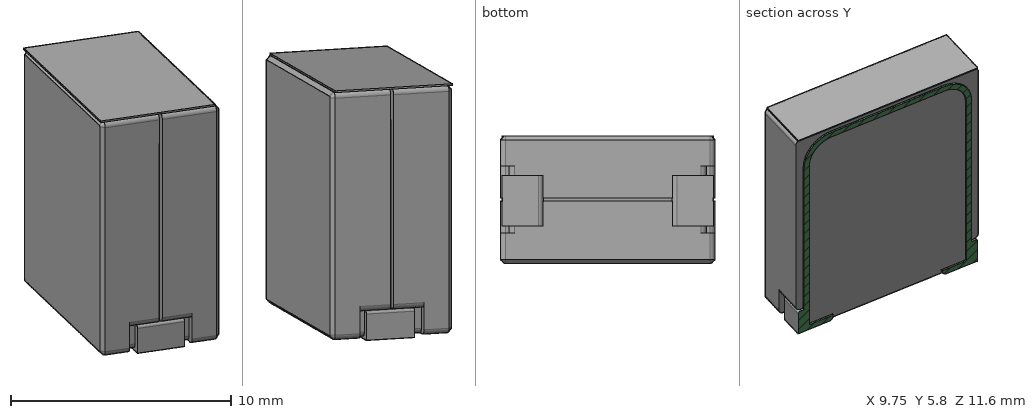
import cadquery as cq
import math

core_length = 9.75
core_width = 5.8
total_height = 11.62

sheet_thickness = 0.08
sheet_length = 9.59
sheet_back_margin = 0.21

foot_drop = 0.1
core_gap = 0.14
edge_radius = 0.24
face_chamfer = 0.19
recess_width = 3.05
recess_depth = 0.4
recess_top = 1.36

clip_width = 2.3
clip_offset = 0.05
clip_thickness = 0.3
clip_top = 11.31
clip_bend_radius = 1.48
foot_half_span = 4.79
foot_top = 1.34
foot_corner_radius = 0.12
foot_tip = 2.9
foot_tip_radius = 0.23

core_half_length = core_length / 2
core_top = total_height - sheet_thickness
core_height = core_top - foot_drop
core_half_width = (core_width - core_gap) / 2
recess_back = core_half_length - recess_depth
leg_outer = recess_back
leg_inner = leg_outer - clip_thickness
bend_inner_radius = clip_bend_radius - clip_thickness
diagonal = math.sqrt(0.5)


def arc_middle(center_x, center_z, radius, x_sign, z_sign):
    """Middle point of a quarter arc, on the diagonal given by the two signs."""
    return (center_x + x_sign * radius * diagonal, center_z + z_sign * radius * diagonal)


def extrude_along_y(outline, width, center_y=0.0):
    """Extrude an outline in the XZ plane to a width centred on center_y."""
    return outline.extrude(width / 2, both=True).translate((0, center_y, 0))


def make_clip():
    """Half of the clip on the +X side, joined to its mirror image."""
    bend_x = leg_outer - clip_bend_radius
    bend_z = clip_top - clip_bend_radius
    corner_x = foot_half_span - foot_corner_radius
    corner_z = foot_top - foot_corner_radius
    tip_x = foot_tip + foot_tip_radius
    outline = (
        cq.Workplane("XZ")
        .moveTo(0, clip_top)
        .lineTo(bend_x, clip_top)
        .threePointArc(arc_middle(bend_x, bend_z, clip_bend_radius, 1, 1), (leg_outer, bend_z))
        .lineTo(leg_outer, foot_top)
        .lineTo(corner_x, foot_top)
        .threePointArc(
            arc_middle(corner_x, corner_z, foot_corner_radius, 1, 1), (foot_half_span, corner_z)
        )
        .lineTo(foot_half_span, 0)
        .lineTo(tip_x, 0)
        .threePointArc(
            arc_middle(tip_x, foot_tip_radius, foot_tip_radius, -1, -1), (foot_tip, foot_tip_radius)
        )
        .lineTo(foot_tip, clip_thickness)
        .lineTo(leg_inner, clip_thickness)
        .lineTo(leg_inner, bend_z)
        .threePointArc(
            arc_middle(bend_x, bend_z, bend_inner_radius, 1, 1), (bend_x, clip_top - clip_thickness)
        )
        .lineTo(0, clip_top - clip_thickness)
        .close()
    )
    half = extrude_along_y(outline, clip_width, clip_offset)
    return half.union(half.mirror("YZ")).clean()


def make_recess():
    """Space taken out of the core around the foot on the +X side, with rounded core edges."""
    mouth_x = core_half_length - edge_radius
    mouth_z = recess_top + edge_radius
    bottom_x = recess_back - edge_radius
    bottom_z = foot_drop + edge_radius
    outline = (
        cq.Workplane("XZ")
        .moveTo(core_half_length, mouth_z)
        .threePointArc(arc_middle(mouth_x, mouth_z, edge_radius, 1, -1), (mouth_x, recess_top))
        .lineTo(recess_back, recess_top)
        .lineTo(recess_back, bottom_z)
        .threePointArc(arc_middle(bottom_x, bottom_z, edge_radius, 1, -1), (bottom_x, foot_drop))
        .lineTo(core_half_length, foot_drop)
        .close()
    )
    return extrude_along_y(outline, recess_width)


def make_core_half(side, clip):
    """Core half on the +Y side (side = 1) or the -Y side (side = -1)."""
    half = (
        cq.Workplane("XY")
        .box(core_length, core_half_width, core_height)
        .translate((0, side * (core_gap + core_half_width) / 2, foot_drop + core_height / 2))
        .edges("|Y")
        .fillet(edge_radius)
        .faces(">Y" if side > 0 else "<Y")
        .chamfer(face_chamfer)
    )
    recess = make_recess()
    return half.cut(recess).cut(recess.mirror("YZ")).cut(clip)


def make_cover_sheet():
    """Thin sheet, flush with the -Y face of the cores."""
    sheet_width = core_width - sheet_back_margin
    return (
        cq.Workplane("XY")
        .box(sheet_length, sheet_width, sheet_thickness)
        .translate((0, -sheet_back_margin / 2, core_top + sheet_thickness / 2))
    )


clip = make_clip()
core_halves = [make_core_half(side, clip) for side in (-1, 1)]
cover_sheet = make_cover_sheet()

result = cq.Compound.makeCompound(
    [*[half.val() for half in core_halves], clip.val(), cover_sheet.val()]
)